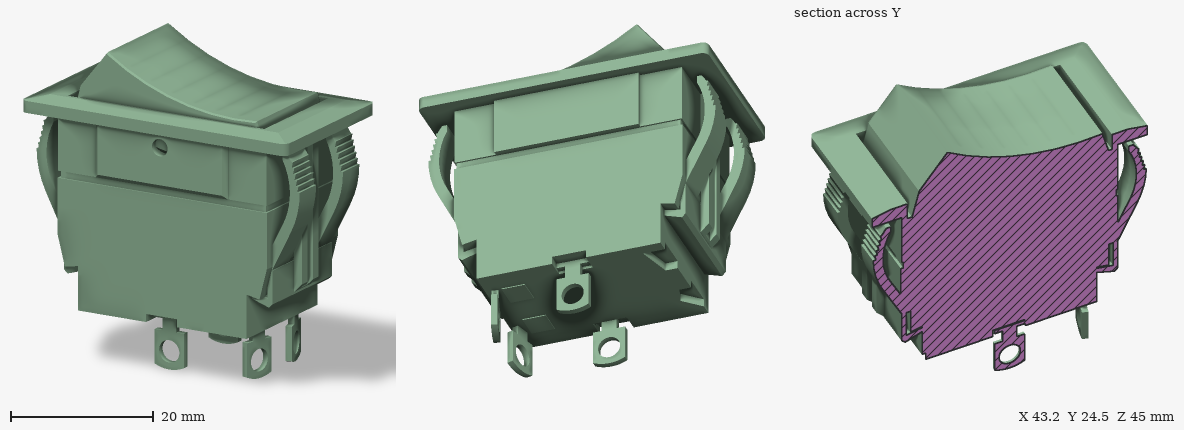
import cadquery as cq
import math


BEZEL_LENGTH = 43.2
BEZEL_WIDTH = 24.5
BEZEL_RIM_HEIGHT = 1.75
BEZEL_HEIGHT = 2.35
BEZEL_TOP_LENGTH = 37.15
BEZEL_TOP_WIDTH = 18.65
BEZEL_CORNER_RADIUS = 1.0
OPENING_LENGTH = 32.0
OPENING_WIDTH = 17.5
OPENING_FLOOR_Z = -0.45

ROCKER_WIDTH = 17.25
ROCKER_PEAK = (-9.75, 9.55)
ROCKER_DIP = (1.7, 4.28)
ROCKER_LOW_END = (14.55, 3.1)
ROCKER_LEFT_FOOT_X = -15.4
ROCKER_LEFT_SHOULDER = (-14.22, 3.95)
ROCKER_RIGHT_FOOT_X = 15.57
ROCKER_FOOT_Z = -0.7
ROCKER_CHAMFER_DEPTH = 0.2
ROCKER_CHAMFER_WIDTH = 0.35

SHELL_LENGTH = 33.95
HOUSING_WIDTH = 19.55
SHELL_BOTTOM_Z = -8.5
NECK_INSET = 0.25
BODY_LENGTH = 34.07
BODY_OFFSET_X = -0.05
BODY_TOP_Z = -9.55
BODY_TAPER_Z = -17.8
BODY_SHOULDER_LENGTH = 31.7
BODY_SHOULDER_Z = -22.35
BODY_STEP_Z = -21.95
BODY_BASE_LENGTH = 27.45
BODY_BOTTOM_Z = -28.45

PANEL_LENGTH = 21.5
PANEL_HEIGHT = 0.7
PANEL_BEVEL = 0.65
PIVOT_HOLE_DIAMETER = 2.5
PIVOT_HOLE_Z = -2.4
PIVOT_HOLE_DEPTH = 0.9
PIVOT_BEVEL_DEPTH = 1.35
PIVOT_BEVEL_DROP = 0.55
PIVOT_BEVEL_TILT = 12.3

RIB_WIDTH = 4.5
RIB_OUTER_X = 18.27
RIB_CHAMFER_TOP_Z = -21.7
RIB_BOTTOM_Z = -22.95
RIB_GROOVE_WIDTH = 1.6
RIB_GROOVE_DEPTH = 1.0

CLIP_SPAN = 16.4
CLIP_LEG_WIDTH = 4.5
CLIP_THICKNESS = 1.6
CLIP_TOP_Z = -0.95
CLIP_TOP_INNER_X = 18.65
CLIP_TOP_OUTER_X = 19.35
CLIP_INNER_LIP_Z = -2.0
TOOTH_COUNT = 5
TOOTH_PITCH = 0.85
TOOTH_TOP = (20.3, -2.03)
TOOTH_SPREAD = 0.23
TOOTH_UNDERCUT = 0.2
BEND_RADIUS = 13.25
BEND_ANGLE = 27.0
LEG_STRAIGHT_LENGTH = 6.75
FOOT_OUTER_X = SHELL_LENGTH / 2
FOOT_THICKNESS = 0.75
FOOT_TOP_Z = -18.35
FOOT_BOTTOM_Z = -23.3
HOOK_CORNER = (16.4, -23.85)
HOOK_INNER_X = BODY_BASE_LENGTH / 2 - 0.23
HOOK_INNER_BOTTOM_Z = -22.9
HOOK_INNER_TOP_Z = -22.05
HOOK_OUTER_TOP_Z = -22.55
FOOT_POCKET_X = 15.57

TERMINAL_WIDTH = 4.75
TERMINAL_THICKNESS = 0.95
TERMINAL_NECK_WIDTH = 2.25
TERMINAL_HEAD_TOP_Z = -27.3
TERMINAL_HEAD_BOTTOM_Z = -28.05
TERMINAL_TAB_TOP_Z = -29.9
TERMINAL_TAB_SIDE_Z = -34.95
TERMINAL_BOTTOM_Z = -35.45
TERMINAL_HOLE_DIAMETER = 3.3
TERMINAL_HOLE_Z = -32.8
COMMON_TERMINAL_Y = 7.43
THROW_TERMINAL_X = 12.55
THROW_TERMINAL_Y = 4.95
THROW_TERMINAL_ANGLE = 74.5

SLOT_LEFT_X = -2.65
SLOT_RIGHT_X = TERMINAL_WIDTH / 2
SLOT_TOP_Z = -27.28
END_POCKET_INNER_Y = 2.7
END_POCKET_OUTER_Y = 7.95
END_POCKET_DEPTH = 1.8
END_POCKET_APEX_Y = 5.5
PAD_LEFT_X = 7.8
PAD_RIGHT_X = 11.25
PAD_INNER_Y = 2.4
PAD_OUTER_Y = 6.15
PAD_HEIGHT = 0.15


def block(x_range, y_range, z_range):
    """Axis-aligned box given by its limits."""
    sizes = [high - low for low, high in (x_range, y_range, z_range)]
    corner = (x_range[0], y_range[0], z_range[0])
    return cq.Workplane("XY").box(*sizes, centered=False).translate(corner)


def centred_block(length, width, bottom_z, top_z):
    """Box centred on the Z axis."""
    return block((-length / 2, length / 2), (-width / 2, width / 2), (bottom_z, top_z))


def on_both_ends(shape):
    return shape.union(shape.mirror("YZ"))


def on_both_sides(shape):
    return shape.union(shape.mirror("XZ"))


def make_bezel():
    rim = centred_block(BEZEL_LENGTH, BEZEL_WIDTH, 0, BEZEL_RIM_HEIGHT)
    slope = (
        cq.Workplane("XY", origin=(0, 0, BEZEL_RIM_HEIGHT))
        .rect(BEZEL_LENGTH, BEZEL_WIDTH)
        .workplane(offset=BEZEL_HEIGHT - BEZEL_RIM_HEIGHT)
        .rect(BEZEL_TOP_LENGTH, BEZEL_TOP_WIDTH)
        .loft(ruled=True)
    )
    rounded = centred_block(BEZEL_LENGTH, BEZEL_WIDTH, 0, BEZEL_HEIGHT)
    rounded = rounded.edges("|Z").fillet(BEZEL_CORNER_RADIUS)
    return rim.union(slope).intersect(rounded)


def rocker_outline(y):
    """Side profile of the rocker in the plane at the given Y, facing -Y."""
    return (
        cq.Workplane("XZ", origin=(0, y, 0))
        .moveTo(ROCKER_LEFT_FOOT_X, ROCKER_FOOT_Z)
        .lineTo(*ROCKER_LEFT_SHOULDER)
        .lineTo(*ROCKER_PEAK)
        .threePointArc(ROCKER_DIP, ROCKER_LOW_END)
        .lineTo(ROCKER_RIGHT_FOOT_X, ROCKER_FOOT_Z)
        .close()
    )


def make_rocker():
    core_width = ROCKER_WIDTH - 2 * ROCKER_CHAMFER_WIDTH
    taper = math.degrees(math.atan2(ROCKER_CHAMFER_DEPTH, ROCKER_CHAMFER_WIDTH))
    core = rocker_outline(core_width / 2).extrude(core_width)
    chamfered_side = rocker_outline(-core_width / 2).extrude(ROCKER_CHAMFER_WIDTH, taper=taper)
    return core.union(on_both_sides(chamfered_side))


def make_lower_body():
    half_top = BODY_LENGTH / 2
    half_shoulder = BODY_SHOULDER_LENGTH / 2
    half_base = BODY_BASE_LENGTH / 2
    right_outline = [
        (half_top, BODY_TOP_Z),
        (half_top, BODY_TAPER_Z),
        (half_shoulder, BODY_SHOULDER_Z),
        (half_base, BODY_STEP_Z),
        (half_base, BODY_BOTTOM_Z),
    ]
    left_outline = [(-x, z) for x, z in reversed(right_outline)]
    return (
        cq.Workplane("XZ", origin=(BODY_OFFSET_X, HOUSING_WIDTH / 2, 0))
        .polyline(right_outline + left_outline)
        .close()
        .extrude(HOUSING_WIDTH)
    )


def make_housing():
    shell = centred_block(SHELL_LENGTH, HOUSING_WIDTH, SHELL_BOTTOM_Z, 0)
    neck_length = SHELL_LENGTH - 2 * NECK_INSET
    neck_width = HOUSING_WIDTH - 2 * NECK_INSET
    neck = centred_block(neck_length, neck_width, BODY_TOP_Z, SHELL_BOTTOM_Z)
    return shell.union(neck).union(make_lower_body())


def make_panels():
    """Raised panels on the long sides; the -Y one is bevelled on three edges."""
    inner_y = HOUSING_WIDTH / 2
    outer_y = inner_y + PANEL_HEIGHT
    x_range = (-PANEL_LENGTH / 2, PANEL_LENGTH / 2)
    back_panel = block(x_range, (inner_y, outer_y), (SHELL_BOTTOM_Z, 0))
    front_panel = block(x_range, (-outer_y, -inner_y), (SHELL_BOTTOM_Z, 0))
    bevelled_edges = front_panel.faces("<Y").edges("|Z or <Z")
    front_panel = bevelled_edges.chamfer(PANEL_BEVEL)
    return back_panel.union(front_panel)


def make_pivot_hole():
    """Blind pivot hole in the -Y panel; below a tilted line its floor slants deeper."""
    mouth_y = -HOUSING_WIDTH / 2 - PANEL_HEIGHT
    floor_y = mouth_y + PIVOT_HOLE_DEPTH

    def bore(depth):
        return (
            cq.Workplane("XZ", origin=(0, mouth_y, PIVOT_HOLE_Z))
            .circle(PIVOT_HOLE_DIAMETER / 2)
            .extrude(-depth)
        )

    bevel = (
        cq.Workplane("YZ", origin=(0, floor_y, PIVOT_HOLE_Z))
        .moveTo(0, -PIVOT_BEVEL_DROP)
        .lineTo(0, -PIVOT_BEVEL_DROP - PIVOT_BEVEL_DEPTH)
        .lineTo(PIVOT_BEVEL_DEPTH, -PIVOT_BEVEL_DROP - PIVOT_BEVEL_DEPTH)
        .close()
        .extrude(PIVOT_HOLE_DIAMETER, both=True)
        .rotate((0, 0, PIVOT_HOLE_Z), (0, 1, PIVOT_HOLE_Z), PIVOT_BEVEL_TILT)
    )
    slanted_floor = bevel.intersect(bore(PIVOT_HOLE_DEPTH + PIVOT_BEVEL_DEPTH))
    return bore(PIVOT_HOLE_DEPTH).union(slanted_floor)


def make_rib():
    """Grooved guide rib on the +X end, chamfered at its lower edge."""
    chamfer = RIB_CHAMFER_TOP_Z - RIB_BOTTOM_Z
    inner_x = RIB_OUTER_X - chamfer
    groove_floor_x = RIB_OUTER_X - RIB_GROOVE_DEPTH
    root_x = FOOT_OUTER_X - FOOT_THICKNESS
    half_width = RIB_WIDTH / 2
    half_groove = RIB_GROOVE_WIDTH / 2
    rib = (
        cq.Workplane("XZ", origin=(0, half_width, 0))
        .polyline([
            (root_x, 0),
            (RIB_OUTER_X, 0),
            (RIB_OUTER_X, RIB_CHAMFER_TOP_Z),
            (inner_x, RIB_BOTTOM_Z),
            (root_x, RIB_BOTTOM_Z),
        ])
        .close()
        .extrude(RIB_WIDTH)
    )
    groove = block((groove_floor_x, RIB_OUTER_X), (-half_groove, half_groove), (RIB_BOTTOM_Z, 0))
    return rib.cut(groove)


def make_clip_legs():
    """Two serrated spring legs on the +X end."""
    tooth_x, tooth_z = TOOTH_TOP
    bend_x = tooth_x + TOOTH_COUNT * TOOTH_SPREAD
    bend_z = tooth_z - TOOTH_COUNT * TOOTH_PITCH
    centre_x = bend_x - BEND_RADIUS

    def on_bend(radius, degrees):
        angle = math.radians(degrees)
        return (centre_x + radius * math.cos(angle), bend_z - radius * math.sin(angle))

    def along_leg(point):
        angle = math.radians(BEND_ANGLE)
        x, z = point
        return (x - LEG_STRAIGHT_LENGTH * math.sin(angle), z - LEG_STRAIGHT_LENGTH * math.cos(angle))

    inner_radius = BEND_RADIUS - CLIP_THICKNESS
    outer_end = on_bend(BEND_RADIUS, BEND_ANGLE)
    inner_end = on_bend(inner_radius, BEND_ANGLE)

    leg = (
        cq.Workplane("XZ", origin=(0, CLIP_SPAN / 2, 0))
        .moveTo(CLIP_TOP_INNER_X, CLIP_TOP_Z)
        .lineTo(CLIP_TOP_OUTER_X, CLIP_TOP_Z)
        .lineTo(tooth_x - TOOTH_SPREAD, tooth_z)
    )
    for tooth in range(TOOTH_COUNT):
        tip_x = tooth_x + tooth * TOOTH_SPREAD
        tip_z = tooth_z - tooth * TOOTH_PITCH
        leg = leg.lineTo(tip_x, tip_z)
        leg = leg.lineTo(tip_x - TOOTH_UNDERCUT, tip_z - TOOTH_PITCH)
    leg = (
        leg.lineTo(bend_x, bend_z)
        .threePointArc(on_bend(BEND_RADIUS, BEND_ANGLE / 2), outer_end)
        .lineTo(*along_leg(outer_end))
        .lineTo(*along_leg(inner_end))
        .lineTo(*inner_end)
        .threePointArc(on_bend(inner_radius, 0), (CLIP_TOP_INNER_X, CLIP_INNER_LIP_Z))
        .close()
        .extrude(CLIP_LEG_WIDTH)
    )
    return on_both_sides(leg)


def make_clip_foot():
    """Plate joining the two legs, hooked under the body step on the +X end."""
    foot_inner_x = FOOT_OUTER_X - FOOT_THICKNESS
    return (
        cq.Workplane("XZ", origin=(0, CLIP_SPAN / 2, 0))
        .polyline([
            (FOOT_OUTER_X, FOOT_TOP_Z),
            (FOOT_OUTER_X, FOOT_BOTTOM_Z),
            HOOK_CORNER,
            (HOOK_INNER_X, HOOK_INNER_BOTTOM_Z),
            (HOOK_INNER_X, HOOK_INNER_TOP_Z),
            (foot_inner_x, HOOK_OUTER_TOP_Z),
            (foot_inner_x, FOOT_TOP_Z),
        ])
        .close()
        .extrude(CLIP_SPAN)
    )


def make_foot_pocket():
    """Clearance behind the clip foot on the +X end."""
    x_range = (FOOT_POCKET_X, BODY_LENGTH)
    y_range = (-CLIP_SPAN / 2, CLIP_SPAN / 2)
    return block(x_range, y_range, (BODY_SHOULDER_Z, FOOT_TOP_Z))


def make_terminal():
    """Flat solder terminal centred on the Z axis, its faces looking along Y."""
    half_width = TERMINAL_WIDTH / 2
    half_neck = TERMINAL_NECK_WIDTH / 2
    plate = (
        cq.Workplane("XZ", origin=(0, TERMINAL_THICKNESS / 2, 0))
        .moveTo(-half_width, TERMINAL_TAB_SIDE_Z)
        .threePointArc((0, TERMINAL_BOTTOM_Z), (half_width, TERMINAL_TAB_SIDE_Z))
        .lineTo(half_width, TERMINAL_TAB_TOP_Z)
        .lineTo(half_neck, TERMINAL_TAB_TOP_Z)
        .lineTo(half_neck, TERMINAL_HEAD_BOTTOM_Z)
        .lineTo(half_width, TERMINAL_HEAD_BOTTOM_Z)
        .lineTo(half_width, TERMINAL_HEAD_TOP_Z)
        .lineTo(-half_width, TERMINAL_HEAD_TOP_Z)
        .lineTo(-half_width, TERMINAL_HEAD_BOTTOM_Z)
        .lineTo(-half_neck, TERMINAL_HEAD_BOTTOM_Z)
        .lineTo(-half_neck, TERMINAL_TAB_TOP_Z)
        .lineTo(-half_width, TERMINAL_TAB_TOP_Z)
        .close()
        .extrude(TERMINAL_THICKNESS)
    )
    hole = (
        cq.Workplane("XZ", origin=(0, TERMINAL_THICKNESS / 2, TERMINAL_HOLE_Z))
        .circle(TERMINAL_HOLE_DIAMETER / 2)
        .extrude(TERMINAL_THICKNESS)
    )
    return plate.cut(hole)


def make_terminals():
    """Common and angled throw terminals, with a contact pad beside each throw."""
    common = make_terminal().translate((0, -COMMON_TERMINAL_Y, 0))
    throw = make_terminal().rotate((0, 0, 0), (0, 0, 1), THROW_TERMINAL_ANGLE)
    throw = throw.translate((THROW_TERMINAL_X, -THROW_TERMINAL_Y, 0))
    pad_z = (BODY_BOTTOM_Z - PAD_HEIGHT, BODY_BOTTOM_Z)
    pad = block((PAD_LEFT_X, PAD_RIGHT_X), (-PAD_OUTER_Y, -PAD_INNER_Y), pad_z)
    return [on_both_sides(piece) for piece in (common, throw, pad)]


def make_terminal_slots():
    """Notches in the long sides, reaching the back of the common terminals."""
    back_y = -COMMON_TERMINAL_Y + TERMINAL_THICKNESS / 2
    slot = block((SLOT_LEFT_X, SLOT_RIGHT_X), (-HOUSING_WIDTH / 2, back_y), (BODY_BOTTOM_Z, SLOT_TOP_Z))
    return on_both_sides(slot)


def make_end_pockets():
    """Notches in the -X end whose back walls slant like the throw terminals.

    On the -Y side the outer half of the back wall returns to the end face.
    """
    mouth_x = -BODY_LENGTH / 2
    end_face_x = BODY_OFFSET_X - BODY_BASE_LENGTH / 2
    inner_x = end_face_x + END_POCKET_DEPTH

    def back_wall_x(y):
        rise = (y - END_POCKET_INNER_Y) / math.tan(math.radians(THROW_TERMINAL_ANGLE))
        return inner_x + rise

    def pocket(back_wall):
        return (
            cq.Workplane("XY", origin=(0, 0, BODY_BOTTOM_Z))
            .moveTo(mouth_x, END_POCKET_INNER_Y)
            .lineTo(inner_x, END_POCKET_INNER_Y)
            .polyline(back_wall, includeCurrent=True)
            .lineTo(mouth_x, END_POCKET_OUTER_Y)
            .close()
            .extrude(SLOT_TOP_Z - BODY_BOTTOM_Z)
        )

    straight_wall = [(back_wall_x(END_POCKET_OUTER_Y), END_POCKET_OUTER_Y)]
    returning_wall = [
        (back_wall_x(END_POCKET_APEX_Y), END_POCKET_APEX_Y),
        (end_face_x, END_POCKET_OUTER_Y),
    ]
    return pocket(straight_wall).union(pocket(returning_wall).mirror("XZ"))


opening = centred_block(OPENING_LENGTH, OPENING_WIDTH, OPENING_FLOOR_Z, BEZEL_HEIGHT)
switch = make_housing().union(make_bezel()).cut(opening).union(make_rocker())

switch = switch.union(make_panels()).cut(make_pivot_hole())

switch = switch.cut(on_both_ends(make_foot_pocket()))
switch = switch.cut(make_terminal_slots()).cut(make_end_pockets())

for end_feature in (make_rib(), make_clip_legs(), make_clip_foot()):
    switch = switch.union(on_both_ends(end_feature))
for terminal in make_terminals():
    switch = switch.union(terminal)

result = switch